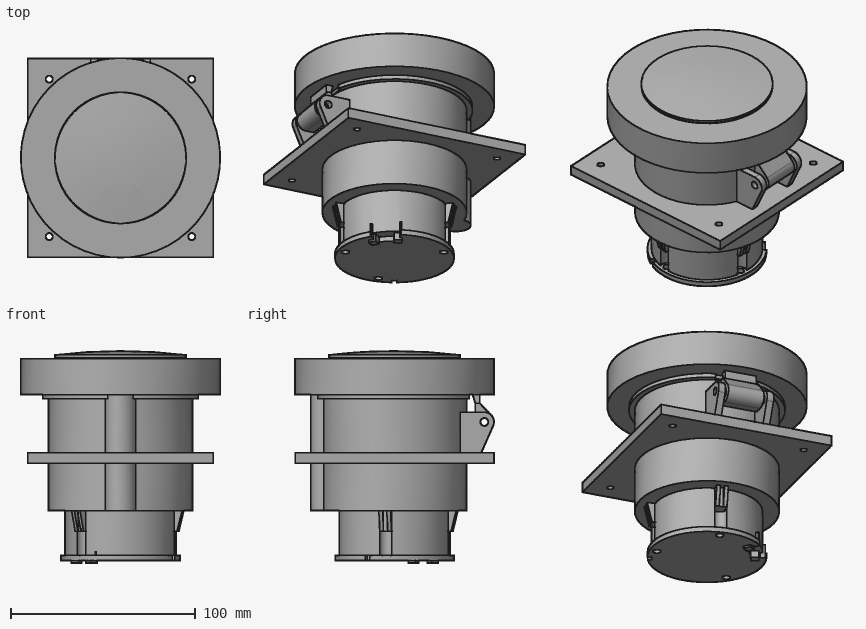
import cadquery as cq
import math

FLANGE_BOTTOM_Z = 1.3
FLANGE_TOP_Z = 4.1
CLIP_BOTTOM_Z = 17.1
BARREL_BOTTOM_Z = 28.3
PLATE_BOTTOM_Z = 53.9
PLATE_TOP_Z = 59.7
LID_BOTTOM_Z = 91.1
LID_TOP_Z = 110.6
TOTAL_HEIGHT = 114.8

LID_RADIUS = 108.0 / 2
DOME_RADIUS = 35.6
DOME_EDGE_Z = 112.6
REVEAL_HEIGHT = 0.5
REVEAL_DEPTH = 0.3

BARREL_RADIUS = 78.2 / 2
COLLAR_RADIUS = 42.2
COLLAR_HEIGHT = 2.3
POST_RADIUS = 8.3
POST_Y = -37.2

PLATE_X = 100.4
PLATE_Y = 107.7
PLATE_HOLE_RADIUS = 1.8
PLATE_HOLE_X = 38.6
PLATE_HOLE_Y = 42.6

HINGE_Y = 48.5
HINGE_Z = 76.3
HINGE_HOLE_RADIUS = 2.1
KNUCKLE_RADIUS = 5.3
EAR_INNER_X = 12.3
EAR_OUTER_X = 16.2
EAR_FOOT_Y = 46.9
LEVER_HALF_WIDTH = 10.5
LEVER_INNER_Y = 43.6
LEVER_OUTER_Y = 46.1
LEVER_TOP_Z = 86.4
ARM_HALF_WIDTH = 9.2
ARM_TOP_INNER_Y = 42.1

INSERT_RADIUS = 30.1
FLANGE_RADIUS = 32.3
WALL_ROOT = 1.1

SLOT_ANGLES = (81, 225, 351)
SLOT_RADIUS = 3.8
SLOT_CENTRE = 28.0
SCREW_HOLE_RADIUS = 2.2
CLIP_WIDTH = 6.4
CLIP_TOP_REACH = 34.2
CLIP_BOTTOM_REACH = 31.5
CLIP_FLOOR_REACH = 31.2
CLIP_FIN_THICKNESS = 2.1

OPENING_START = 129
OPENING_END = 159.2
OPENING_INNER_RADIUS = 23.5
END_WALL_WIDTH = 0.9
END_WALL_REACH = 31.6
END_WALL_TOP_Z = 9.1
PEG_ANGLES = (127.4, 157)
PEG_CENTRE = 25.9
PEG_SIZE = 4.4

KEY_ANGLE = 333
KEY_WIDTH = 2.8
INDEX_ANGLE = 243.8
INDEX_WIDTH = 0.5
INDEX_HEIGHT = 2.1
INDEX_REACH = 0.3


def cylinder(radius, bottom, top, x=0, y=0):
    return cq.Workplane("XY", origin=(x, y, bottom)).circle(radius).extrude(top - bottom)


def radial_block(inner, outer, width, bottom, top, angle):
    """Block reaching from one radius to another at the given angle about Z."""
    block = cq.Workplane("XY").box(outer - inner, width, top - bottom, centered=(False, True, False))
    return block.translate((inner, 0, bottom)).rotate((0, 0, 0), (0, 0, 1), angle)


def sector(inner, outer, start, end, bottom, top):
    """Part of a ring between two angles about Z."""
    def at(radius, angle):
        turn = math.radians(angle)
        return (radius * math.cos(turn), radius * math.sin(turn))

    middle = (start + end) / 2
    outline = (
        cq.Workplane("XY", origin=(0, 0, bottom))
        .moveTo(*at(inner, start))
        .lineTo(*at(outer, start))
        .threePointArc(at(outer, middle), at(outer, end))
        .lineTo(*at(inner, end))
        .threePointArc(at(inner, middle), at(inner, start))
        .close()
    )
    return outline.extrude(top - bottom)


def knuckle_tangent(y, z, side):
    """Point where a line from (y, z) touches the knuckle circle; side is +1 or -1."""
    towards = math.atan2(z - HINGE_Z, y - HINGE_Y)
    distance = math.hypot(y - HINGE_Y, z - HINGE_Z)
    turn = towards + side * math.acos(KNUCKLE_RADIUS / distance)
    return (HINGE_Y + KNUCKLE_RADIUS * math.cos(turn), HINGE_Z + KNUCKLE_RADIUS * math.sin(turn))


def hinge_hole():
    return (
        cq.Workplane("YZ")
        .center(HINGE_Y, HINGE_Z)
        .circle(HINGE_HOLE_RADIUS)
        .extrude(EAR_OUTER_X, both=True)
    )


KNUCKLE_OUTER_POINT = (HINGE_Y + KNUCKLE_RADIUS, HINGE_Z)


def barrel():
    body = cylinder(BARREL_RADIUS, BARREL_BOTTOM_Z, LID_BOTTOM_Z)
    post = cylinder(POST_RADIUS, BARREL_BOTTOM_Z, LID_BOTTOM_Z, y=POST_Y)
    return body.union(post)


def collar():
    """Seat under the lid, cut back to the barrel where the lid arm passes."""
    seat = cylinder(COLLAR_RADIUS, LID_BOTTOM_Z - COLLAR_HEIGHT, LID_BOTTOM_Z)
    arm_gap = radial_block(
        BARREL_RADIUS, LID_RADIUS, 2 * EAR_INNER_X, LID_BOTTOM_Z - COLLAR_HEIGHT, LID_BOTTOM_Z, 90
    )
    return seat.cut(arm_gap)


def mounting_plate():
    plate = (
        cq.Workplane("XY", origin=(0, 0, PLATE_BOTTOM_Z))
        .rect(PLATE_X, PLATE_Y)
        .extrude(PLATE_TOP_Z - PLATE_BOTTOM_Z)
    )
    holes = (
        cq.Workplane("XY", origin=(0, 0, PLATE_BOTTOM_Z))
        .rect(2 * PLATE_HOLE_X, 2 * PLATE_HOLE_Y, forConstruction=True)
        .vertices()
        .circle(PLATE_HOLE_RADIUS)
        .extrude(PLATE_TOP_Z - PLATE_BOTTOM_Z)
    )
    return plate.cut(holes)


def hinge_ear(start_x):
    """Ear standing on the plate; its inner edge runs into the barrel."""
    root_y = BARREL_RADIUS - KNUCKLE_RADIUS
    return (
        cq.Workplane("YZ", origin=(start_x, 0, 0))
        .moveTo(root_y, PLATE_TOP_Z)
        .lineTo(EAR_FOOT_Y, PLATE_TOP_Z)
        .lineTo(*knuckle_tangent(EAR_FOOT_Y, PLATE_TOP_Z, 1))
        .threePointArc(KNUCKLE_OUTER_POINT, (HINGE_Y, HINGE_Z + KNUCKLE_RADIUS))
        .lineTo(root_y, HINGE_Z + KNUCKLE_RADIUS)
        .close()
        .extrude(EAR_OUTER_X - EAR_INNER_X)
    )


def clip(angle):
    """Catch standing out of a screw slot under the barrel: an upright pad between two tapered fins."""
    wedge = (
        cq.Workplane("XZ")
        .moveTo(SLOT_CENTRE - SLOT_RADIUS, BARREL_BOTTOM_Z)
        .lineTo(CLIP_TOP_REACH, BARREL_BOTTOM_Z)
        .lineTo(CLIP_BOTTOM_REACH, CLIP_BOTTOM_Z)
        .lineTo(SLOT_CENTRE - SLOT_RADIUS, CLIP_BOTTOM_Z)
        .close()
        .extrude(CLIP_WIDTH / 2, both=True)
    )
    channel_width = CLIP_WIDTH - 2 * CLIP_FIN_THICKNESS
    channel = radial_block(
        CLIP_FLOOR_REACH, CLIP_TOP_REACH, channel_width, CLIP_BOTTOM_Z, BARREL_BOTTOM_Z, 0
    )
    return wedge.cut(channel).rotate((0, 0, 0), (0, 0, 1), angle)


def screw_slot(angle):
    """Round slot, open at its outer side, with a screw hole through the flange below it."""
    groove = cylinder(SLOT_RADIUS, FLANGE_TOP_Z, BARREL_BOTTOM_Z, x=SLOT_CENTRE)
    hole = cylinder(SCREW_HOLE_RADIUS, FLANGE_BOTTOM_Z, FLANGE_TOP_Z, x=SLOT_CENTRE)
    return groove.union(hole).rotate((0, 0, 0), (0, 0, 1), angle)


def insert():
    body = cylinder(INSERT_RADIUS, FLANGE_BOTTOM_Z, BARREL_BOTTOM_Z)
    body = body.union(cylinder(FLANGE_RADIUS, FLANGE_BOTTOM_Z, FLANGE_TOP_Z))

    body = body.cut(
        sector(OPENING_INNER_RADIUS, LID_RADIUS, OPENING_START, OPENING_END, FLANGE_BOTTOM_Z, FLANGE_TOP_Z)
    )
    for angle in (OPENING_START, OPENING_END):
        body = body.union(
            radial_block(
                INSERT_RADIUS - WALL_ROOT, END_WALL_REACH, END_WALL_WIDTH,
                FLANGE_BOTTOM_Z, END_WALL_TOP_Z, angle,
            )
        )
    for angle in PEG_ANGLES:
        body = body.union(
            radial_block(
                PEG_CENTRE - PEG_SIZE / 2, PEG_CENTRE + PEG_SIZE / 2, PEG_SIZE, 0, FLANGE_TOP_Z, angle
            )
        )

    for angle in SLOT_ANGLES:
        body = body.cut(screw_slot(angle)).union(clip(angle))

    body = body.cut(
        radial_block(INSERT_RADIUS, LID_RADIUS, KEY_WIDTH, FLANGE_BOTTOM_Z, FLANGE_TOP_Z, KEY_ANGLE)
    )
    return body.union(
        radial_block(
            INSERT_RADIUS - WALL_ROOT, INSERT_RADIUS + INDEX_REACH, INDEX_WIDTH,
            FLANGE_TOP_Z, FLANGE_TOP_Z + INDEX_HEIGHT, INDEX_ANGLE,
        )
    )


def make_housing():
    body = barrel().union(collar()).union(mounting_plate())
    for start_x in (-EAR_OUTER_X, EAR_INNER_X):
        body = body.union(hinge_ear(start_x).cut(hinge_hole()))
    return body.union(insert())


def lid_cover():
    """Thick round cover with a raised, domed centre set off by a fine groove."""
    neck_radius = DOME_RADIUS - REVEAL_DEPTH
    crown = TOTAL_HEIGHT - DOME_EDGE_Z
    sphere_radius = (DOME_RADIUS ** 2 + crown ** 2) / (2 * crown)
    half_y = DOME_RADIUS / 2
    half_z = TOTAL_HEIGHT - sphere_radius + math.sqrt(sphere_radius ** 2 - half_y ** 2)
    return (
        cq.Workplane("YZ")
        .moveTo(0, LID_BOTTOM_Z)
        .lineTo(-LID_RADIUS, LID_BOTTOM_Z)
        .lineTo(-LID_RADIUS, LID_TOP_Z)
        .lineTo(-neck_radius, LID_TOP_Z)
        .lineTo(-neck_radius, LID_TOP_Z + REVEAL_HEIGHT)
        .lineTo(-DOME_RADIUS, LID_TOP_Z + REVEAL_HEIGHT)
        .lineTo(-DOME_RADIUS, DOME_EDGE_Z)
        .threePointArc((-half_y, half_z), (0, TOTAL_HEIGHT))
        .close()
        .revolve(360, (0, 0, 0), (0, 1, 0))
    )


def lid_arm():
    """Arm under the cover that carries the hinge lever."""
    arm = (
        cq.Workplane("YZ")
        .moveTo(LEVER_INNER_Y, LEVER_TOP_Z)
        .lineTo(LEVER_OUTER_Y, LEVER_TOP_Z)
        .lineTo(LEVER_OUTER_Y, LID_BOTTOM_Z)
        .lineTo(ARM_TOP_INNER_Y, LID_BOTTOM_Z)
        .close()
        .extrude(ARM_HALF_WIDTH, both=True)
    )
    lever = (
        cq.Workplane("YZ")
        .moveTo(LEVER_INNER_Y, HINGE_Z - KNUCKLE_RADIUS)
        .lineTo(LEVER_INNER_Y, LEVER_TOP_Z)
        .lineTo(LEVER_OUTER_Y, LEVER_TOP_Z)
        .lineTo(*knuckle_tangent(LEVER_OUTER_Y, LEVER_TOP_Z, -1))
        .threePointArc(KNUCKLE_OUTER_POINT, (HINGE_Y, HINGE_Z - KNUCKLE_RADIUS))
        .close()
        .extrude(LEVER_HALF_WIDTH, both=True)
    )
    return arm.union(lever).cut(hinge_hole())


def make_lid():
    return lid_cover().union(lid_arm())


housing = make_housing()
lid = make_lid()
result = cq.Compound.makeCompound([housing.val(), lid.val()])